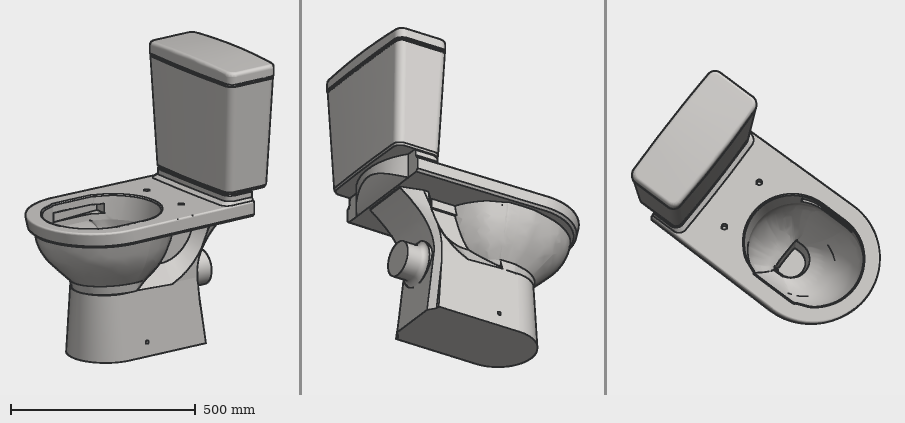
import cadquery as cq
import math


total_width = 379.6
total_depth = 668.44
total_height = 787.16
back_y = 410.0
front_y = back_y - total_depth

rim_top_z = 400.0
rim_edge_z = 363.0
rim_bottom_z = 356.0
rim_back_y = 340.0
rim_half_width = 181.5
rim_back_half_width = 176.0
rim_front_setback = 9.0
rim_bottom_inset = 7.0
rim_fillet = 5.0
rim_lean = math.atan(rim_front_setback / (rim_top_z - rim_edge_z))
rim_fillet_loss = rim_fillet * (1 / math.cos(rim_lean) - 1 + math.tan(rim_lean))
seat_hole_diameter = 16.0
seat_hole_spacing = 155.0
seat_hole_y = 166.0
seat_hole_depth = 30.0

bowl_sections = [
    (213.0, 96.0, -137.0, 88.0),
    (245.0, 119.0, -172.0, 122.0),
    (280.0, 139.0, -208.0, 139.0),
    (317.0, 153.0, -233.0, 152.0),
    (rim_bottom_z, 162.0, -244.0, 161.0),
]
opening_half_width = 131.0
opening_front_y = -214.0
opening_back_y = 124.0
opening_lip = 4.0
rim_wall_bottom_z = 330.0
rim_wall_back_y = 112.0
basin_sections = [
    (rim_wall_bottom_z, opening_half_width, opening_front_y, rim_wall_back_y, opening_half_width),
    (300.0, 124.0, -203.0, 110.0, 100.0),
    (217.0, 86.0, -131.0, 76.0, 60.0),
    (170.0, 51.0, -52.0, 22.0, 3.0),
]
sump_floor = (125.0, 40.0, -40.0, 18.0, 3.0)
flush_slot_bottom_z = 348.0
flush_slot_top_z = 374.0
flush_slot_back_y = 50.0
flush_slot_front_y = -110.0
flush_slot_reach = 148.0

foot_half_width = 107.5
foot_front_y = -139.0
neck_z = 188.0
neck_half_width = 93.0
neck_front_y = -129.0
back_profile = [(245.0, 0.0), (222.0, 190.0), (243.0, 266.0), (270.0, 301.0), (332.0, 353.0)]
side_profile = [(228.0, 0.0), (207.0, 190.0), (216.0, 258.0), (232.0, 301.0), (255.0, 353.0)]
back_half_width = 75.0
side_edge_half_width = 96.0
web_half_width = 58.0
recess_outer_arc = [(253.0, 356.0), (195.0, 230.0), (124.0, 183.0)]
recess_inner_arc = [(222.0, 356.0), (186.0, 266.0), (122.0, 237.0)]
recess_front_y = -5.0
ledge_z = 329.0
ledge_step = 6.0
ledge_back_y = 222.0
screw_hole_diameter = 10.0
screw_hole_y = 31.0
screw_hole_z = 40.0
outlet_diameter = 100.0
outlet_z = 180.0
outlet_end_y = 290.6
outlet_flare = 16.0
outlet_flare_y = 247.0

seat_top_z = 428.5
seat_front_y = 256.0
seat_half_width = 166.0
seat_corner = 24.0
seat_bow = 3.0
seat_chamfer = 4.0
seat_flare_height = 9.0
seat_flare_front = 14.0
seat_flare_side = 5.0
spur_back_y = 387.0
spur_heel_z = 404.0
spur_flank = (366.0, 376.0)
spur_half_width = 130.0

cistern_chamfer_height = 7.0
cistern_chamfer_inset = 3.0
cistern_top_z = 741.0
cistern_top_half_width = 187.5
cistern_bottom_half_width = 167.0
cistern_corner = 23.0
cistern_bottom_front_y = 253.0
cistern_bottom_back_y = 401.5
cistern_top_front_y = 244.5
cistern_top_back_y = 409.0
front_bow = 6.0
back_bow = 3.0
groove_depth = 3.0
lid_bottom_z = 748.0
lid_front_y = 244.0
lid_corner = 24.0
lid_crown = 7.0
lid_fillet = 11.0


def half_ellipse(half_width, center_y, end_y, z):
    """Half ellipse across X whose tip is at end_y, as one smooth edge."""
    reach = end_y - center_y
    steps = 12
    angles = [math.pi * step / steps for step in range(steps + 1)]
    points = [cq.Vector(half_width * math.cos(a), center_y + reach * math.sin(a), z) for a in angles]
    side = math.copysign(1, reach)
    return cq.Edge.makeSpline(points, tangents=[cq.Vector(0, side, 0), cq.Vector(0, -side, 0)])


def oval(half_width, front_y, back_y, z):
    """Closed wire of a long front and a short back half ellipse that meet at Y = 0."""
    front = half_ellipse(half_width, 0, front_y, z)
    back = half_ellipse(half_width, 0, back_y, z)
    return cq.Wire.assembleEdges([front, back])


def basin_outline(z, half_width, front_y, back_y, back_depth):
    """Closed wire with a semicircular front, straight sides and a half-ellipse back."""
    front_center = front_y + half_width
    back_center = back_y - back_depth
    right = cq.Edge.makeLine(cq.Vector(half_width, front_center, z), cq.Vector(half_width, back_center, z))
    left = cq.Edge.makeLine(cq.Vector(-half_width, back_center, z), cq.Vector(-half_width, front_center, z))
    front = half_ellipse(half_width, front_center, front_y, z)
    back = half_ellipse(half_width, back_center, back_y, z)
    return cq.Wire.assembleEdges([right, back, left, front])


def d_outline(half_width, back_half_width, front_y, back_y, z):
    """Closed wire with a semicircular front, straight sides and a flat back."""
    front_center = front_y + half_width
    return (
        cq.Workplane("XY", origin=(0, 0, z))
        .moveTo(half_width, front_center)
        .threePointArc((0, front_y), (-half_width, front_center))
        .lineTo(-back_half_width, back_y)
        .lineTo(back_half_width, back_y)
        .close()
        .wires()
        .val()
    )


def bowed_rectangle(half_width, front_y, back_y, corner, z, front_bow, back_bow=0.0):
    """Closed wire of a rounded rectangle; front_y and back_y are the middles of its bowed sides."""
    front_corner_y = front_y + front_bow
    back_corner_y = back_y - back_bow
    outline = (
        cq.Workplane("XY", origin=(0, 0, z))
        .moveTo(-half_width, front_corner_y)
        .threePointArc((0, front_y), (half_width, front_corner_y))
        .lineTo(half_width, back_corner_y)
    )
    if back_bow:
        outline = outline.threePointArc((0, back_y), (-half_width, back_corner_y))
    else:
        outline = outline.lineTo(-half_width, back_corner_y)
    wire = outline.close().wires().val()
    rounded = [v for v in wire.Vertices() if back_bow or v.Y < back_corner_y - corner]
    return wire.fillet2D(corner, rounded)


def loft(wires, ruled=False):
    return cq.Workplane(obj=cq.Solid.makeLoft(wires, ruled))


def make_rim():
    def outline(z, inset, setback):
        return d_outline(
            rim_half_width - inset, rim_back_half_width - inset, front_y + setback, rim_back_y, z
        )

    bottom = outline(rim_bottom_z, rim_bottom_inset, rim_front_setback + rim_bottom_inset)
    edge = outline(rim_edge_z, 0, rim_front_setback - rim_fillet_loss)
    top = outline(rim_top_z, 0, -rim_fillet_loss)
    rim = loft([bottom, edge], True).union(loft([edge, top], True))
    return rim.faces(">Z").edges("not(>Y)").fillet(rim_fillet)


def make_bowl_shell():
    sections = [oval(half, front, back, z) for z, half, front, back in bowl_sections]
    lowest_back = bowl_sections[0][3]
    neck = oval(neck_half_width, neck_front_y, lowest_back / 2, neck_z)
    return loft(sections).union(loft([neck, sections[0]], True))


def trapway_profile(x, points):
    """Closed wire at constant X of everything in front of one of the trapway back profiles."""
    floor, waist, belly, flank, heel = points
    far_front = 2 * foot_front_y
    return (
        cq.Workplane("YZ", origin=(x, 0, 0))
        .moveTo(far_front, 0)
        .lineTo(*floor)
        .lineTo(*waist)
        .spline([belly, flank, heel], includeCurrent=True)
        .lineTo(heel[0], rim_edge_z)
        .lineTo(far_front, rim_edge_z)
        .close()
        .wires()
        .val()
    )


def make_pedestal_body():
    """Foot and trapway between the floor and the rim; the curved back has slanted side edges."""
    foot = d_outline(foot_half_width, foot_half_width, foot_front_y, back_y, 0)
    neck = d_outline(neck_half_width, neck_half_width, neck_front_y, back_y, neck_z)
    lower = loft([foot, neck], True)
    upper = (
        cq.Workplane("XY", origin=(0, back_y / 2, neck_z))
        .rect(2 * neck_half_width, back_y)
        .extrude(rim_edge_z - neck_z)
    )
    outer_half_width = foot_half_width + 1
    planes = [
        trapway_profile(-outer_half_width, side_profile),
        trapway_profile(-side_edge_half_width, side_profile),
        trapway_profile(-back_half_width, back_profile),
        trapway_profile(back_half_width, back_profile),
        trapway_profile(side_edge_half_width, side_profile),
        trapway_profile(outer_half_width, side_profile),
    ]
    envelope = loft(planes[:2], True)
    for near, far in zip(planes[1:], planes[2:]):
        envelope = envelope.union(loft([near, far], True))
    return lower.union(upper).intersect(envelope)


def recess_outline(x, points, bottom):
    """Side recess boundary in a plane of constant X: curved back, flat bottom, open to the front."""
    start, middle, end = points
    return (
        cq.Workplane("YZ", origin=(x, 0, 0))
        .moveTo(*start)
        .threePointArc(middle, end)
        .lineTo(recess_front_y, bottom)
        .lineTo(recess_front_y, start[1])
        .close()
        .wires()
        .val()
    )


def make_side_recess():
    """Hollow above the foot on one side; it narrows from the foot side face to the web."""
    outer = recess_outline(neck_half_width + 1, recess_outer_arc, neck_z)
    inner = recess_outline(web_half_width, recess_inner_arc, recess_inner_arc[-1][1])
    return loft([inner, outer], True)


def make_ledge():
    """Thickening of the web just under the rim."""
    half_width = web_half_width + ledge_step
    return (
        cq.Workplane("XY", origin=(0, ledge_back_y / 2, ledge_z))
        .rect(2 * half_width, ledge_back_y)
        .extrude(rim_edge_z - ledge_z)
    )


def make_cistern_seat():
    """Raised seat behind the seat holes, its flared foot, and the rear spur that carries the cistern."""
    def outline(z, inset, front_inset):
        return bowed_rectangle(
            seat_half_width - inset, seat_front_y + front_inset, rim_back_y, seat_corner, z, seat_bow
        )

    flare_top_z = rim_top_z + seat_flare_height
    chamfer_z = seat_top_z - seat_chamfer
    wires = [
        outline(rim_top_z, -seat_flare_side, -seat_flare_front),
        outline(flare_top_z, 0, 0),
        outline(chamfer_z, 0, 0),
        outline(seat_top_z, seat_chamfer, seat_chamfer),
    ]
    seat = loft(wires[:2], True)
    for lower, upper in zip(wires[1:], wires[2:]):
        seat = seat.union(loft([lower, upper], True))
    spur = (
        cq.Workplane("YZ")
        .moveTo(seat_front_y + seat_corner, seat_top_z)
        .lineTo(spur_back_y, seat_top_z)
        .lineTo(spur_back_y, spur_heel_z)
        .threePointArc(spur_flank, (rim_back_y, rim_bottom_z))
        .lineTo(seat_front_y + seat_corner, rim_bottom_z)
        .close()
        .extrude(spur_half_width, both=True)
    )
    spur_plan = (
        cq.Workplane("XY")
        .moveTo(-spur_half_width, rim_back_y)
        .threePointArc((0, spur_back_y), (spur_half_width, rim_back_y))
        .lineTo(spur_half_width, seat_front_y)
        .lineTo(-spur_half_width, seat_front_y)
        .close()
        .extrude(total_height)
    )
    return seat.union(spur.intersect(spur_plan))


def make_basin():
    """Opening in the rim, the bowl inside below it and the sump."""
    def opening(z, growth):
        half_width = opening_half_width + growth
        return basin_outline(z, half_width, opening_front_y - growth, opening_back_y + growth, half_width)

    lip_top = opening(rim_top_z, opening_lip)
    lip_bottom = opening(rim_top_z - opening_lip, 0)
    sections = [basin_outline(*section) for section in basin_sections]
    lip = loft([lip_bottom, lip_top], True)
    wall = loft([sections[0], lip_bottom], True)
    bowl = loft(sections)
    sump = loft([basin_outline(*sump_floor), sections[-1]], True)
    return lip.union(wall).union(bowl).union(sump)


def make_flush_slot():
    """Wedge-shaped slot in the rim wall on the +X side, deepest at its back end."""
    return (
        cq.Workplane("XY", origin=(0, 0, flush_slot_bottom_z))
        .polyline([
            (0, flush_slot_back_y),
            (flush_slot_reach, flush_slot_back_y),
            (opening_half_width, flush_slot_front_y),
            (0, flush_slot_front_y),
        ])
        .close()
        .extrude(flush_slot_top_z - flush_slot_bottom_z)
    )


def make_outlet():
    """Round outlet pipe with a flared root, running back from the pedestal."""
    radius = outlet_diameter / 2
    root_y = side_profile[1][0]
    return (
        cq.Workplane("XY", origin=(0, 0, outlet_z))
        .moveTo(0, root_y)
        .lineTo(radius + outlet_flare, root_y)
        .lineTo(radius + outlet_flare, outlet_flare_y - outlet_flare)
        .radiusArc((radius, outlet_flare_y), outlet_flare)
        .lineTo(radius, outlet_end_y)
        .lineTo(0, outlet_end_y)
        .close()
        .revolve(360, (0, 0, 0), (0, 1, 0))
    )


def make_pan():
    body = make_pedestal_body()
    recess = make_side_recess()
    body = body.cut(recess).cut(recess.mirror("YZ")).union(make_ledge())
    pan = body.union(make_bowl_shell()).union(make_rim()).union(make_cistern_seat()).union(make_outlet())
    slot = make_flush_slot()
    pan = pan.cut(make_basin()).cut(slot).cut(slot.mirror("YZ"))
    seat_holes = (
        cq.Workplane("XY", origin=(0, seat_hole_y, rim_top_z))
        .rarray(seat_hole_spacing, 1, 2, 1)
        .circle(seat_hole_diameter / 2)
        .extrude(-seat_hole_depth)
    )
    screw_hole = (
        cq.Workplane("YZ")
        .center(screw_hole_y, screw_hole_z)
        .circle(screw_hole_diameter / 2)
        .extrude(total_width, both=True)
    )
    return pan.cut(seat_holes).cut(screw_hole)


def make_cistern():
    """Tapered tank with its lid; a shallow groove marks the joint between them."""
    def tank_outline(half_width, front_y, back_y, z, inset=0.0):
        return bowed_rectangle(
            half_width - inset, front_y + inset, back_y - inset, cistern_corner, z, front_bow, back_bow
        )

    bottom = (cistern_bottom_half_width, cistern_bottom_front_y, cistern_bottom_back_y)
    top = (cistern_top_half_width, cistern_top_front_y, cistern_top_back_y)
    base = tank_outline(*bottom, seat_top_z, cistern_chamfer_inset)
    lower = tank_outline(*bottom, seat_top_z + cistern_chamfer_height)
    upper = tank_outline(*top, cistern_top_z)
    tank = loft([base, lower], True).union(loft([lower, upper], True))
    groove_bottom = tank_outline(*top, cistern_top_z, groove_depth)
    groove_top = tank_outline(*top, lid_bottom_z, groove_depth)
    return tank.union(loft([groove_bottom, groove_top], True)).union(make_lid())


def make_lid():
    """Lid with bowed sides, a crowned top and rounded top edges."""
    half_width = total_width / 2
    bottom = bowed_rectangle(half_width, lid_front_y, back_y, lid_corner, lid_bottom_z, front_bow, back_bow)
    block = cq.Workplane(obj=cq.Solid.extrudeLinear(bottom, [], cq.Vector(0, 0, total_height - lid_bottom_z)))
    crown_radius = (half_width**2 + lid_crown**2) / (2 * lid_crown)
    crown = (
        cq.Workplane("XZ", origin=(0, 0, total_height - crown_radius))
        .circle(crown_radius)
        .extrude(total_depth, both=True)
    )
    return block.intersect(crown).faces(">Z").edges().fillet(lid_fillet)


pan = make_pan()
cistern = make_cistern()
result = cq.Compound.makeCompound([pan.val(), cistern.val()])